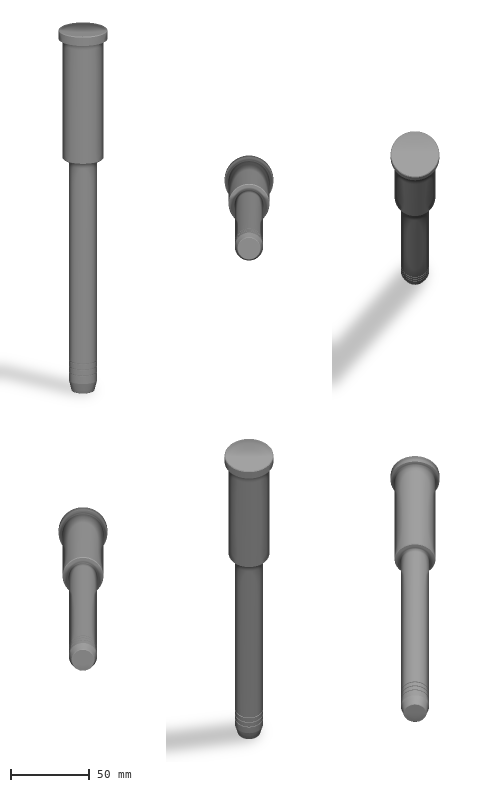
import cadquery as cq

total_length = 241.0
head_diameter = 31.0
head_thickness = 6.0
sleeve_diameter = 26.0
sleeve_bottom_z = 155.0
shaft_diameter = 18.0
tip_diameter = 14.5
tip_length = 7.0

edge_chamfer = 0.5
tip_chamfer = 0.2
shoulder_fillet = 0.7

groove_count = 3
groove_span = 8.0
groove_pitch = groove_span / (groove_count - 1)
groove_width = 0.7
groove_depth = 0.5
lowest_groove_z = 12.5

head_bottom_z = total_length - head_thickness


def cylinder(diameter, bottom_z, top_z):
    return cq.Workplane("XY", origin=(0, 0, bottom_z)).circle(diameter / 2).extrude(top_z - bottom_z)


def tip():
    """Lead-in cone that narrows to the chamfered bottom end."""
    cone = (
        cq.Workplane("XY")
        .circle(tip_diameter / 2)
        .workplane(offset=tip_length)
        .circle(shaft_diameter / 2)
        .loft()
    )
    return cone.faces("<Z").chamfer(tip_chamfer)


def shoulder_edge(diameter, z):
    """Selector for the inside corner where a cylinder meets the step above it."""
    radius = diameter / 2
    margin = shoulder_fillet / 2
    reach = radius + margin
    return cq.selectors.BoxSelector(
        (-reach, -reach, z - margin),
        (reach, reach, z + margin),
        boundingbox=True,
    )


def groove(center_z):
    """Ring that removes the outer skin of the shaft at one height."""
    bottom_z = center_z - groove_width / 2
    top_z = center_z + groove_width / 2
    core = cylinder(shaft_diameter - 2 * groove_depth, bottom_z, top_z)
    return cylinder(head_diameter, bottom_z, top_z).cut(core)


head = cylinder(head_diameter, head_bottom_z, total_length).edges(">Z").chamfer(edge_chamfer)
sleeve = cylinder(sleeve_diameter, sleeve_bottom_z, head_bottom_z).edges("<Z").chamfer(edge_chamfer)
shaft = cylinder(shaft_diameter, tip_length, sleeve_bottom_z)
pin = head.union(sleeve).union(shaft).union(tip())

pin = pin.edges(shoulder_edge(sleeve_diameter, head_bottom_z)).fillet(shoulder_fillet)
pin = pin.edges(shoulder_edge(shaft_diameter, sleeve_bottom_z)).fillet(shoulder_fillet)

for index in range(groove_count):
    pin = pin.cut(groove(lowest_groove_z + index * groove_pitch))

result = pin